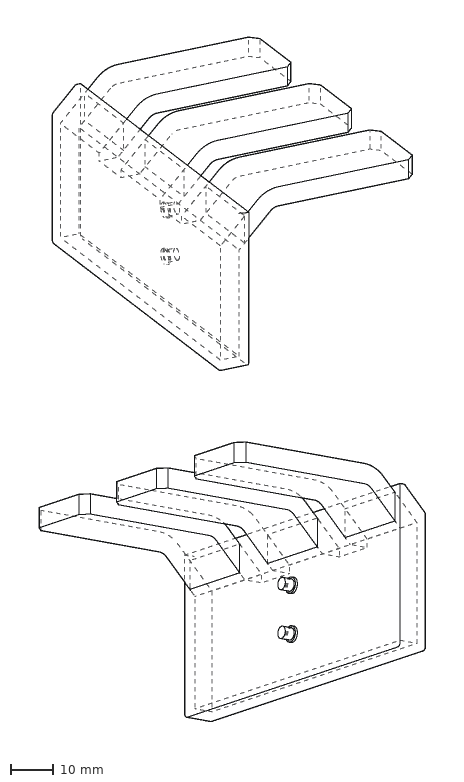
import cadquery as cq
import math

COVER_LENGTH = 86.6
COVER_DEPTH = 8.0
COVER_HEIGHT = 40.0
SLOPE_SIZE = 6.0
TOP_LAND = COVER_DEPTH - SLOPE_SIZE
EDGE_RADIUS = 1.05

PEG_COUNT = 2
PEG_DIAMETER = 3.0
PEG_LENGTH = 3.2
COLLAR_DIAMETER = 4.0
COLLAR_LENGTH = 0.6
LOWER_PEG_HEIGHT = 11.75
PEG_SPACING = 12.0

TONGUE_COUNT = 3
TONGUE_WIDTH = 20.0
TONGUE_PITCH = 31.2
BAR_THICKNESS = 5.0
TONGUE_TIP = 46.04
TONGUE_TOP = COVER_HEIGHT + 3.99
TIP_CHAMFER = 2.0
BEND_ANGLE = 45.0
BEND_INNER_RADIUS = 3.0
BEND_OUTER_RADIUS = BEND_INNER_RADIUS + BAR_THICKNESS
BEND_START = 9.05

WEB_LENGTH = (TONGUE_COUNT - 1) * TONGUE_PITCH + TONGUE_WIDTH
WEB_MARGIN = (COVER_LENGTH - WEB_LENGTH) / 2
WEB_BACK = -(COVER_DEPTH - BAR_THICKNESS) / 2
WEB_FRONT = WEB_BACK - BAR_THICKNESS


def bend_point(radius, angle):
    """Point (Y, Z) on the bend, at an angle in degrees from its start."""
    turn = math.radians(angle)
    centre_z = TONGUE_TOP - BEND_OUTER_RADIUS
    return (BEND_START - radius * math.sin(turn), centre_z + radius * math.cos(turn))


def slope_point(radius, y):
    """Point (Y, Z) at depth y on the straight slope that leaves the bend."""
    end_y, end_z = bend_point(radius, BEND_ANGLE)
    return (y, end_z - (end_y - y) * math.tan(math.radians(BEND_ANGLE)))


def make_tongue(centre_x):
    """One tongue: flat blade, rounded bend and a slope running down to the web."""
    tongue = (
        cq.Workplane("YZ", origin=(centre_x, 0, 0))
        .moveTo(TONGUE_TIP, TONGUE_TOP)
        .lineTo(*bend_point(BEND_OUTER_RADIUS, 0))
        .threePointArc(
            bend_point(BEND_OUTER_RADIUS, BEND_ANGLE / 2),
            bend_point(BEND_OUTER_RADIUS, BEND_ANGLE),
        )
        .lineTo(*slope_point(BEND_OUTER_RADIUS, WEB_FRONT))
        .lineTo(*slope_point(BEND_INNER_RADIUS, WEB_FRONT))
        .lineTo(*bend_point(BEND_INNER_RADIUS, BEND_ANGLE))
        .threePointArc(
            bend_point(BEND_INNER_RADIUS, BEND_ANGLE / 2),
            bend_point(BEND_INNER_RADIUS, 0),
        )
        .lineTo(TONGUE_TIP, TONGUE_TOP - BAR_THICKNESS)
        .close()
        .extrude(TONGUE_WIDTH / 2, both=True)
    )
    return tongue.faces(">Y").edges("|Z").chamfer(TIP_CHAMFER)


def make_comb():
    """Upright web with the tongues side by side along it, all one solid."""
    web_top = slope_point(BEND_INNER_RADIUS, WEB_BACK)[1]
    web_height = web_top - WEB_MARGIN
    comb = (
        cq.Workplane("XY", origin=(0, WEB_FRONT, WEB_MARGIN))
        .box(WEB_LENGTH, BAR_THICKNESS, web_height, centered=(True, False, False))
    )
    for index in range(TONGUE_COUNT):
        centre_x = (index - (TONGUE_COUNT - 1) / 2) * TONGUE_PITCH
        comb = comb.union(make_tongue(centre_x))
    return comb


def make_peg(height):
    """Round peg with a collar at its foot, standing on the back face."""
    back_face = cq.Workplane("XZ", origin=(0, 0, height))
    collar = back_face.circle(COLLAR_DIAMETER / 2).extrude(-COLLAR_LENGTH)
    peg = back_face.circle(PEG_DIAMETER / 2).extrude(-PEG_LENGTH)
    return peg.union(collar)


def make_cover(comb):
    """Block with a sloped top front, rounded edges, pegs and a recess for the comb."""
    block = (
        cq.Workplane("YZ")
        .moveTo(0, 0)
        .lineTo(-COVER_DEPTH, 0)
        .lineTo(-COVER_DEPTH, COVER_HEIGHT - SLOPE_SIZE)
        .lineTo(-TOP_LAND, COVER_HEIGHT)
        .lineTo(0, COVER_HEIGHT)
        .close()
        .extrude(COVER_LENGTH / 2, both=True)
    )
    sharp_edges = block.faces(">Y").edges().add(block.faces(">Z").edges("|Y"))
    rounded_edges = [
        edge
        for edge in block.edges().vals()
        if not any(edge.isSame(sharp) for sharp in sharp_edges.vals())
    ]
    cover = block.newObject(rounded_edges).fillet(EDGE_RADIUS)
    for index in range(PEG_COUNT):
        cover = cover.union(make_peg(LOWER_PEG_HEIGHT + index * PEG_SPACING))
    return cover.cut(comb)


comb = make_comb()
cover = make_cover(comb)
result = cq.Compound.makeCompound([cover.val(), comb.val()])